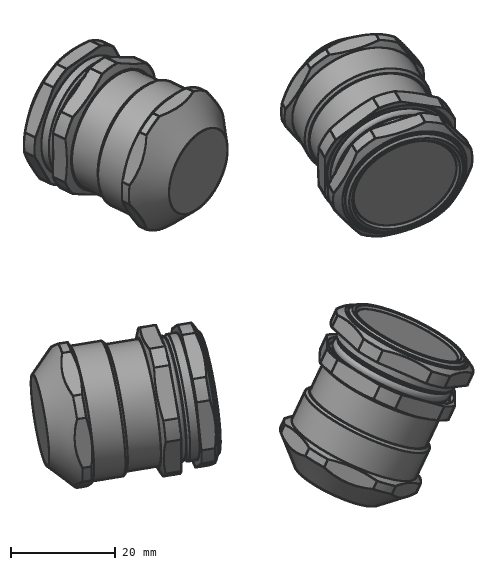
import cadquery as cq
import math


length = 33.0
body_radius = 12.4
hex_flat_radius = 13.53
hex_corner_radius = 14.5

entry_end = 6.65
entry_chamfer = 0.55
mouth_radius = 11.22
recess_radius = 10.7
recess_depth = mouth_radius - recess_radius

nut_start = 0.75
nut_end = 4.3
nut_face_radius = 12.95
nut_chamfer_length = 0.9
nut_turn = -2.2

ring_tube_radius = 1.05
ring_center_x = entry_end + ring_tube_radius
ring_center_radius = body_radius - ring_tube_radius
ring_seat_mouth_radius = 13.33
ring_seat_floor_radius = 12.77
ring_seat_depth = 0.55

body_hex_start = 8.05
body_hex_end = 11.85
body_hex_face_radius = 12.67
body_hex_chamfer_length = 0.73

collar_start = 18.35
collar_radius = 13.2
collar_chamfer = 0.6

cap_start = 25.08
cap_chamfer_length = 0.73
cap_cone_start = 27.6
cap_end_radius = 8.95


def turned(profile):
    """Revolve an (x, radius) outline, closed along the axis, about X."""
    points = [(profile[0][0], 0)] + profile + [(profile[-1][0], 0)]
    return cq.Workplane("XY").polyline(points).close().revolve(360, (0, 0, 0), (1, 0, 0))


def turned_hexagon(profile, corner_angle):
    """Turned blank with six flats; corner_angle is measured from +Y towards +Z."""
    start = profile[0][0]
    end = profile[-1][0]
    across_corners = 2 * hex_flat_radius / math.cos(math.pi / 6)
    prism = cq.Workplane("YZ", origin=(start, 0, 0)).polygon(6, across_corners).extrude(end - start)
    return turned(profile).intersect(prism.rotate((0, 0, 0), (1, 0, 0), corner_angle))


core = turned([
    (0, body_radius - entry_chamfer),
    (entry_chamfer, body_radius),
    (entry_end - entry_chamfer, body_radius),
    (entry_end, body_radius - entry_chamfer),
    (ring_center_x, body_radius - entry_chamfer),
    (ring_center_x, ring_center_radius),
    (body_hex_start + ring_seat_depth, ring_center_radius),
    (body_hex_start + ring_seat_depth, body_radius),
    (collar_start, body_radius),
])

lock_nut = turned_hexagon([
    (nut_start, nut_face_radius),
    (nut_start + nut_chamfer_length, hex_corner_radius),
    (nut_end, hex_corner_radius),
], nut_turn)

sealing_ring = (
    cq.Workplane("XY")
    .center(ring_center_x, ring_center_radius)
    .circle(ring_tube_radius)
    .revolve(360, (0, -ring_center_radius, 0), (1, -ring_center_radius, 0))
)

body_hex = turned_hexagon([
    (body_hex_start, hex_corner_radius),
    (body_hex_end - body_hex_chamfer_length, hex_corner_radius),
    (body_hex_end, body_hex_face_radius),
], 90)
ring_seat = turned([
    (body_hex_start, ring_seat_mouth_radius),
    (body_hex_start + ring_seat_depth, ring_seat_floor_radius),
])
body_hex = body_hex.cut(ring_seat)

collar = turned([
    (collar_start, collar_radius - collar_chamfer),
    (collar_start + collar_chamfer, collar_radius),
    (cap_start, collar_radius),
])

cap = turned_hexagon([
    (cap_start, collar_radius),
    (cap_start + cap_chamfer_length, hex_corner_radius),
    (cap_cone_start, hex_corner_radius),
    (length, cap_end_radius),
], 0)

recess = turned([(0, mouth_radius), (recess_depth, recess_radius)])

result = core
for piece in (lock_nut, sealing_ring, body_hex, collar, cap):
    result = result.union(piece)
result = result.cut(recess)